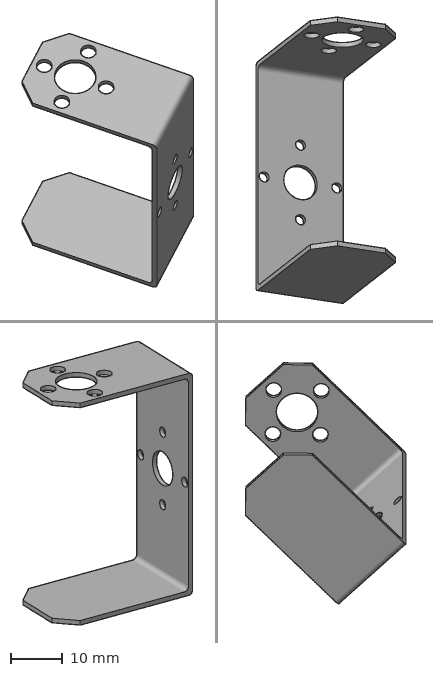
import cadquery as cq

length = 30.0
width = 18.0
height = 47.0
thickness = 1.0

inner_bend_radius = 1.0
outer_bend_radius = 1.0

corner_cut = 3.95

flange_pattern_x = width / 2
flange_center_diameter = 8.0
flange_screw_diameter = 3.0
flange_screw_offset = 6.5

web_center_diameter = 7.0
web_screw_diameter = 2.0
web_screw_offset = 7.65


def bent_strip():
    """U-shaped strip, open toward -X, with rounded bends."""
    outer = (
        cq.Workplane("XY")
        .box(length, width, height, centered=(False, True, True))
        .edges("|Y and >X")
        .fillet(outer_bend_radius)
    )
    inner = (
        cq.Workplane("XY")
        .box(length - thickness, width, height - 2 * thickness, centered=(False, True, True))
        .edges("|Y and >X")
        .fillet(inner_bend_radius)
    )
    return outer.cut(inner)


def hole_cutters(plane, center_diameter, screw_diameter, screw_offset):
    """Center hole with four screw holes around it, one sheet thickness deep."""
    center = plane.circle(center_diameter / 2).extrude(thickness)
    screws = (
        plane.polarArray(screw_offset, 0, 360, 4)
        .circle(screw_diameter / 2)
        .extrude(thickness)
    )
    return center.union(screws)


flange_plane = cq.Workplane("XY", origin=(flange_pattern_x, 0, height / 2 - thickness))
flange_holes = hole_cutters(
    flange_plane, flange_center_diameter, flange_screw_diameter, flange_screw_offset
)

web_plane = cq.Workplane("YZ", origin=(length - thickness, 0, 0))
web_holes = hole_cutters(web_plane, web_center_diameter, web_screw_diameter, web_screw_offset)

bracket = bent_strip().edges("|Z and <X").chamfer(corner_cut)
result = bracket.cut(flange_holes).cut(web_holes)